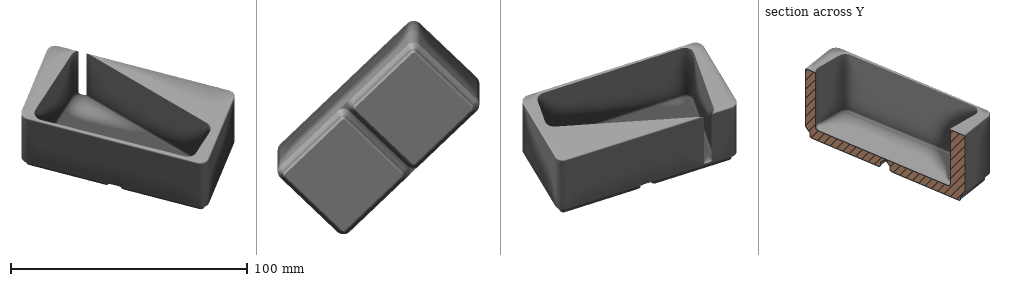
import cadquery as cq

CELL = 42.0
CELL_COUNT = 2
CLEARANCE = 0.5
LENGTH = CELL_COUNT * CELL - CLEARANCE
WIDTH = CELL - CLEARANCE
HEIGHT = 35.0

CELL_CORNER_RADIUS = 4.0
BODY_CORNER_RADIUS = CELL_CORNER_RADIUS - CLEARANCE / 2
RIM_RADIUS = 0.6

FOOT_LOWER_CHAMFER = 0.8
FOOT_STRAIGHT = 1.8
FOOT_UPPER_CHAMFER = 2.4
FOOT_HEIGHT = FOOT_LOWER_CHAMFER + FOOT_STRAIGHT + FOOT_UPPER_CHAMFER
OVERLAP = 0.5

CAVITY_CORNERS = [
    (-37.0, -19.53),
    (35.0, -19.0),
    (38.0, -0.17),
    (-30.3, 22.43),
]
CAVITY_CORNER_RADIUS = 4.0
FLOOR_RADIUS = 1.0
FLOOR_HEIGHT = 5.5


def rounded_block(length, width, height, corner_radius, bottom):
    block = cq.Workplane("XY").workplane(offset=bottom).rect(length, width).extrude(height)
    return block.edges("|Z").fillet(corner_radius)


def foot(center_x):
    """Full-cell foot: a straight band with a 45 degree chamfer below and a 45 degree flare above."""
    band_side = CELL - 2 * FOOT_UPPER_CHAMFER
    band_radius = CELL_CORNER_RADIUS - FOOT_UPPER_CHAMFER
    band_top = FOOT_LOWER_CHAMFER + FOOT_STRAIGHT
    band = rounded_block(band_side, band_side, band_top, band_radius, 0)
    band = band.faces("<Z").chamfer(FOOT_LOWER_CHAMFER)
    flare = rounded_block(CELL, CELL, FOOT_UPPER_CHAMFER + OVERLAP, CELL_CORNER_RADIUS, band_top)
    flare = flare.faces("<Z").chamfer(FOOT_UPPER_CHAMFER)
    return band.union(flare).translate((center_x, 0, 0))


def body():
    """Rounded box on its feet; the feet are trimmed to the outline of the box."""
    solid = rounded_block(LENGTH, WIDTH, HEIGHT - FOOT_HEIGHT, BODY_CORNER_RADIUS, FOOT_HEIGHT)
    solid = solid.faces(">Z").edges().fillet(RIM_RADIUS)
    outline = rounded_block(LENGTH, WIDTH, HEIGHT, BODY_CORNER_RADIUS, 0)
    for index in range(CELL_COUNT):
        center_x = (index - (CELL_COUNT - 1) / 2) * CELL
        solid = solid.union(foot(center_x).intersect(outline))
    return solid.clean()


def cavity():
    pocket = (
        cq.Workplane("XY")
        .workplane(offset=FLOOR_HEIGHT)
        .polyline(CAVITY_CORNERS)
        .close()
        .extrude(HEIGHT - FLOOR_HEIGHT)
    )
    pocket = pocket.edges("|Z").fillet(CAVITY_CORNER_RADIUS)
    return pocket.faces("<Z").edges().fillet(FLOOR_RADIUS)


result = body().cut(cavity())